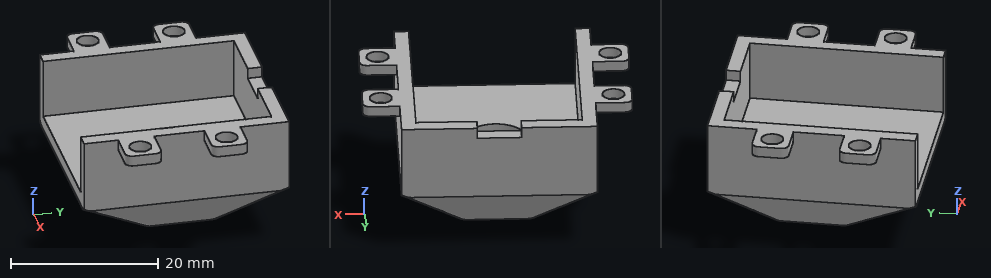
import cadquery as cq

tray_width = 26.6
tray_length = 28.6
tray_height = 10.43
wall = 2.0
floor_thickness = 2.0

overall_height = 18.4
funnel_height = overall_height - tray_height
funnel_tip_side = 10.0
edge_radius = 1.98
hole_diameter = 8.3
hole_y = 1.28

notch_width = 6.0
notch_depth = 1.5

overall_width = 36.6
tab_width = 5.0
tab_thickness = 1.5
tab_corner_radius = 1.0
tab_hole_diameter = 3.0
tab_spacing = 12.0
front_tab_y = -7.03
tab_reach = (overall_width - tray_width) / 2
tab_hole_x = overall_width / 2 - tab_width / 2
tab_positions_y = (front_tab_y, front_tab_y + tab_spacing)


def make_outer_body():
    """Solid tray block with a tapered funnel and rounded funnel edges."""
    block = cq.Workplane("XY").box(tray_width, tray_length, tray_height, centered=(True, True, False))
    block = block.translate((0, 0, -tray_height))
    funnel = (
        cq.Workplane("XY", origin=(0, 0, -overall_height))
        .center(0, hole_y)
        .rect(funnel_tip_side, funnel_tip_side)
        .workplane(offset=funnel_height)
        .center(0, -hole_y)
        .rect(tray_width, tray_length)
        .loft(ruled=True)
    )
    below_tray = cq.selectors.BoxSelector(
        (-tray_width, -tray_length, -overall_height - 0.35),
        (tray_width, tray_length, -tray_height - 0.35),
    )
    return block.union(funnel).edges(below_tray).fillet(edge_radius)


def make_cavity():
    """Pocket open at the top and at the front (-Y)."""
    depth = tray_height - floor_thickness
    return (
        cq.Workplane("XY")
        .box(tray_width - 2 * wall, tray_length, depth, centered=(True, True, False))
        .translate((0, -wall, -depth))
    )


def make_notch():
    return (
        cq.Workplane("XY")
        .box(notch_width, 2 * wall, notch_depth, centered=(True, True, False))
        .translate((0, tray_length / 2, -notch_depth))
    )


def make_tab(side, y):
    """Tab on the side = -1 or +1 wall, with two rounded outer corners and a hole."""
    length = tab_reach + wall / 2
    x = side * (overall_width - length) / 2
    tab = (
        cq.Workplane("XY")
        .box(length, tab_width, tab_thickness)
        .translate((x, y, -tab_thickness / 2))
        .faces(">X" if side > 0 else "<X")
        .edges("|Z")
        .fillet(tab_corner_radius)
    )
    hole = (
        cq.Workplane("XY")
        .center(side * tab_hole_x, y)
        .circle(tab_hole_diameter / 2)
        .extrude(-tab_thickness)
    )
    return tab.cut(hole)


through_hole = cq.Workplane("XY").center(0, hole_y).circle(hole_diameter / 2).extrude(-overall_height)

result = make_outer_body().cut(make_cavity()).cut(make_notch()).cut(through_hole)
for tab_y in tab_positions_y:
    for tab_side in (-1, 1):
        result = result.union(make_tab(tab_side, tab_y))